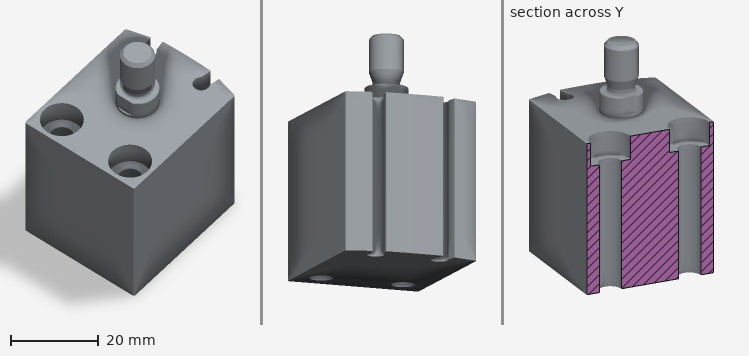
import cadquery as cq
import math

width = 32.0
depth = 39.0
block_height = 37.0
front_y = -21.0
back_y = front_y + depth
corner_radius = 0.5

crown_half_width = 7.3
crown_rise = 0.15
lip_radius = 0.25
shoulder_angle = 15

hole_spacing = 20.0
hole_y = front_y + 6.0
hole_diameter = 5.5
counterbore_diameter = 10.0
counterbore_depth = 5.65

slot_x = 7.85
slot_y = 13.4
slot_bore_diameter = 4.0
slot_mouth_width = 3.0
slot_tilt = 10
slot_cut_length = 8.1

total_height = 54.0
collar_diameter = 10.0
collar_height = 5.0
collar_chamfer = 0.15
flat_width = 9.0
flat_base_height = 0.75
neck_diameter = 6.2
neck_fillet = 0.5
thread_diameter = 8.0
thread_length = 8.35
tip_chamfer = 0.85
tip_diameter = 6.5
taper_angle = 20


def make_housing():
    half_width = width / 2
    crown_end_y = back_y - crown_rise
    shoulder_run = half_width - crown_half_width
    shoulder_y = crown_end_y - shoulder_run * math.tan(math.radians(shoulder_angle))
    block = (
        cq.Workplane("XY")
        .moveTo(-half_width, front_y)
        .lineTo(half_width, front_y)
        .lineTo(half_width, shoulder_y)
        .lineTo(crown_half_width, crown_end_y)
        .threePointArc((0, back_y), (-crown_half_width, crown_end_y))
        .lineTo(-half_width, shoulder_y)
        .close()
        .extrude(block_height)
    )
    block = block.faces("<X or >X").edges("|Z").fillet(corner_radius)
    block = (
        block.faces(">Z")
        .workplane(origin=(0, 0, block_height))
        .pushPoints([(-hole_spacing / 2, hole_y), (hole_spacing / 2, hole_y)])
        .cboreHole(hole_diameter, counterbore_diameter, counterbore_depth)
    )
    for side in (-1, 1):
        block = block.cut(make_slot(side))

    lip_zone = cq.selectors.BoxSelector(
        (-crown_half_width - lip_radius, crown_end_y - lip_radius, 0),
        (crown_half_width + lip_radius, back_y, block_height),
    )
    return block.edges("|Z").edges(lip_zone).fillet(lip_radius)


def make_slot(side):
    """Round slot with a narrower mouth leaning away from the middle; side is -1 or 1."""
    bore = cq.Workplane("XY").circle(slot_bore_diameter / 2).extrude(block_height)
    mouth = (
        cq.Workplane("XY")
        .rect(slot_mouth_width, slot_cut_length)
        .extrude(block_height)
        .translate((0, slot_cut_length / 2, 0))
    )
    slot = bore.union(mouth).rotate((0, 0, 0), (0, 0, 1), side * -slot_tilt)
    return slot.translate((side * slot_x, slot_y, 0))


def make_rod():
    """Turned rod standing on the housing, with two wrench flats on its collar."""
    collar_radius = collar_diameter / 2
    collar_top = block_height + collar_height
    neck_radius = neck_diameter / 2
    thread_radius = thread_diameter / 2
    thread_base = total_height - thread_length

    taper = math.radians(taper_angle)
    arc_rise = neck_fillet * math.sin(taper)
    taper_foot_radius = neck_radius + neck_fillet * (1 - math.cos(taper))
    taper_foot = thread_base - (thread_radius - taper_foot_radius) / math.tan(taper)

    rod = (
        cq.Workplane("XZ")
        .moveTo(0, block_height)
        .lineTo(collar_radius, block_height)
        .lineTo(collar_radius, collar_top - collar_chamfer)
        .lineTo(collar_radius - collar_chamfer, collar_top)
        .lineTo(neck_radius + neck_fillet, collar_top)
        .radiusArc((neck_radius, collar_top + neck_fillet), neck_fillet)
        .lineTo(neck_radius, taper_foot - arc_rise)
        .radiusArc((taper_foot_radius, taper_foot), neck_fillet)
        .lineTo(thread_radius, thread_base)
        .lineTo(thread_radius, total_height - tip_chamfer)
        .lineTo(tip_diameter / 2, total_height)
        .lineTo(0, total_height)
        .close()
        .revolve(360, (0, 0, 0), (0, 1, 0))
    )

    flat_height = collar_height - flat_base_height
    flat_base = block_height + flat_base_height
    flat_cut_y = (flat_width + collar_diameter) / 2
    for side in (-1, 1):
        flat_cut = (
            cq.Workplane("XY", origin=(0, side * flat_cut_y, flat_base))
            .rect(collar_diameter, collar_diameter)
            .extrude(flat_height)
        )
        rod = rod.cut(flat_cut)
    return rod


housing = make_housing()
rod = make_rod()
result = cq.Compound.makeCompound([housing.val(), rod.val()])